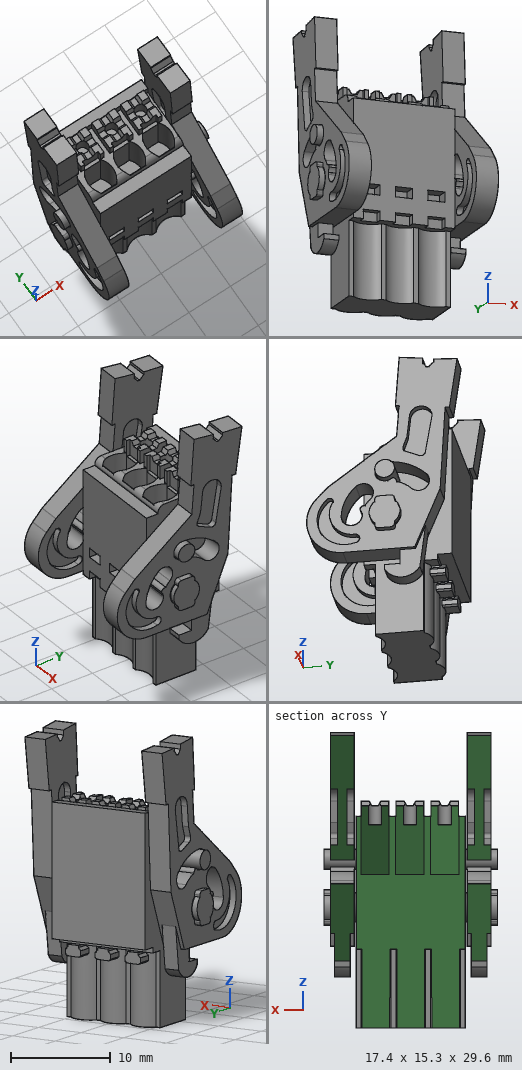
import cadquery as cq
import math


POLE_PITCH = 3.5
POLE_XS = [-POLE_PITCH, 0, POLE_PITCH]
CONTACT_SHIFT = 0.1

HOUSING_HALF = 5.47
FRONT_Y = -2.65
BACK_Y = 6.27
SKIRT_Z = 7.87
BACK_SKIRT_Z = 8.43
BACK_SKIRT_Y = 4.8
FRONT_TOP_Z = 20.33
HUMP_FRONT_Y = -1.25
HUMP_R = 0.8
DECK_Z = 21.22
BACK_WALL_Y = 5.12
BACK_WALL_Z = 22.4
NOSE_FRONT_Y = -1.5
NOSE_BACK_Y = 3.4

FLUTE_WIDTH = 3.0
FLUTE_DEPTH = 0.65
FLUTE_R = (FLUTE_WIDTH**2 / 4 + FLUTE_DEPTH**2) / (2 * FLUTE_DEPTH)

WINDOW_WIDTH = 1.8
WINDOW_Z = 10.5
WINDOW_HEIGHT = 1.07
WINDOW_DEPTH = 1.48
NOTCH_TOP_Z = 8.85
NOTCH_DEPTH = 0.8
TAB_BACK_Y = 5.45
TAB_NECK_WIDTH = 1.25
TAB_BOTTOM_Z = 6.7
TAB_CHAMFER = 0.18
TAB_SLOPE_BOTTOM_Z = 7.37
TAB_SLOPE_TOP_Z = 7.65

ENTRY_WIDTH = 3.0
ENTRY_FRONT_Y = -1.07
ENTRY_FLOOR_Z = 15.4
CHANNEL_WIDTH = 1.9
CHANNEL_FLOOR_Z = 20.85

BUTTON_WIDTH = 2.78
BUTTON_FRONT_Y = 1.85
BUTTON_TOP_Z = 22.73
BUTTON_BOTTOM_Z = ENTRY_FLOOR_Z
BUTTON_RELIEF_DEPTH = 0.38
GROOVE_TOP_WIDTH = 1.18
GROOVE_FLOOR_WIDTH = 0.62
GROOVE_DEPTH = 0.47
TOOL_HOLE_R = 0.65
TOOL_HOLE_Y = 3.6
TOOL_HOLE_DEPTH = 2.37

PIVOT_Z = 12.07
LEVER_GAP = 0.18
LEVER_THICKNESS = 2.4
LEVER_MID_X = HOUSING_HALF + LEVER_GAP + LEVER_THICKNESS / 2
LEVER_OUTER_X = LEVER_MID_X + LEVER_THICKNESS / 2
NOSE_R = 3.7
NOSE_CENTRE = (-4.35, -0.2)
NOSE_START_ANGLE = 137
HOOK_WIDTH = 1.6
RECESS_DEPTH = 0.7
RECESS_CORNER_R = 0.45

GUIDE_HALF_WIDTH = 1.07
PIN_SLOT_R = 4.82
PIN_SLOT_ANGLES = (-0.5, 44.5)
PIN_DETENT_ANGLE = 10
FREE_SLOT_R = 3.45
FREE_SLOT_ANGLES = (-88, -42)
FREE_DETENT_ANGLE = -72
DETENT_R = 0.47
DETENT_INSET = 0.12

PIN_END_X = 8.7
GUIDE_PIN_R = 1.0
PIVOT_PIN_R = 1.48
PIVOT_HEAD_R = 1.57
PIVOT_KEY_WIDTH = 2.0
PIVOT_KEY_HEIGHT = 3.58
PIVOT_KEY_CORNER_R = 0.38


def box(x_mid, x_width, y0, y1, z0, z1):
    """Box centred on x_mid, between two Y and two Z values."""
    centre = (x_mid, (y0 + y1) / 2, (z0 + z1) / 2)
    return cq.Workplane("XY").box(x_width, y1 - y0, z1 - z0).translate(centre)


def upright_cylinder(x, y, radius, z0, z1):
    """Cylinder along Z."""
    return cq.Workplane("XY", origin=(x, y, z0)).circle(radius).extrude(z1 - z0)


def pivot_plane(x=0):
    """YZ plane at x, with its origin on the pivot axis."""
    return cq.Workplane("YZ", origin=(x, 0, PIVOT_Z))


def polar(radius, angle):
    """(Y, Z) from the pivot; the angle in degrees runs from +Z towards +Y."""
    turn = math.radians(angle)
    return (radius * math.sin(turn), radius * math.cos(turn))


def housing_core():
    """Side profile of the housing across its whole width."""
    hump_z = DECK_Z - HUMP_R
    hump_y = HUMP_FRONT_Y + HUMP_R
    arc_mid = (hump_y - HUMP_R * math.sqrt(0.5), hump_z + HUMP_R * math.sqrt(0.5))
    profile = (
        cq.Workplane("YZ")
        .moveTo(FRONT_Y, SKIRT_Z)
        .lineTo(FRONT_Y, FRONT_TOP_Z)
        .lineTo(HUMP_FRONT_Y, FRONT_TOP_Z)
        .lineTo(HUMP_FRONT_Y, hump_z)
        .threePointArc(arc_mid, (hump_y, DECK_Z))
        .lineTo(BACK_WALL_Y, DECK_Z)
        .lineTo(BACK_WALL_Y, BACK_WALL_Z)
        .lineTo(BACK_Y, BACK_WALL_Z)
        .lineTo(BACK_Y, BACK_SKIRT_Z)
        .lineTo(BACK_SKIRT_Y, BACK_SKIRT_Z)
        .lineTo(BACK_SKIRT_Y, SKIRT_Z)
        .lineTo(NOSE_BACK_Y, SKIRT_Z)
        .lineTo(NOSE_BACK_Y, 0)
        .lineTo(NOSE_FRONT_Y, 0)
        .lineTo(NOSE_FRONT_Y, SKIRT_Z)
        .close()
    )
    return profile.extrude(HOUSING_HALF, both=True)


def front_flute(x):
    """Cutter for one concave flute on the front of the nose."""
    axis_y = NOSE_FRONT_Y + FLUTE_DEPTH - FLUTE_R
    return upright_cylinder(x, axis_y, FLUTE_R, 0, SKIRT_Z)


def front_openings(x):
    """Cutter for the blind window and the notch in the lower edge of the front wall."""
    window_top_z = WINDOW_Z + WINDOW_HEIGHT
    window = box(x, WINDOW_WIDTH, FRONT_Y, FRONT_Y + WINDOW_DEPTH, WINDOW_Z, window_top_z)
    notch = box(x, WINDOW_WIDTH, FRONT_Y, FRONT_Y + NOTCH_DEPTH, SKIRT_Z, NOTCH_TOP_Z)
    return window.union(notch)


def back_lobe(x):
    """Convex lobe on the back of the nose."""
    axis_y = NOSE_BACK_Y + FLUTE_DEPTH - FLUTE_R
    lobe = upright_cylinder(x, axis_y, FLUTE_R, 0, SKIRT_Z)
    return lobe.intersect(box(x, FLUTE_WIDTH, NOSE_BACK_Y, NOSE_BACK_Y + FLUTE_DEPTH, 0, SKIRT_Z))


def back_tab(x):
    """Tab under the back skirt with a narrower neck and chamfered lower edges."""
    half = WINDOW_WIDTH / 2
    right_side = [
        (TAB_NECK_WIDTH / 2, SKIRT_Z),
        (TAB_NECK_WIDTH / 2, TAB_SLOPE_TOP_Z),
        (half, TAB_SLOPE_BOTTOM_Z),
        (half, TAB_BOTTOM_Z + TAB_CHAMFER),
        (half - TAB_CHAMFER, TAB_BOTTOM_Z),
    ]
    left_side = [(-px, pz) for px, pz in reversed(right_side)]
    tab = cq.Workplane("XZ", origin=(x, TAB_BACK_Y, 0)).polyline(right_side + left_side).close()
    return tab.extrude(TAB_BACK_Y - NOSE_BACK_Y)


def wire_entry(x):
    """Cutter for one barrel-shaped wire entry and the shallow channel across its mouth."""
    flat_half = CHANNEL_WIDTH / 2
    bulge_half = ENTRY_WIDTH / 2
    mid_y = (ENTRY_FRONT_Y + BUTTON_FRONT_Y) / 2
    bore = (
        cq.Workplane("XY", origin=(x, 0, ENTRY_FLOOR_Z))
        .moveTo(-flat_half, BUTTON_FRONT_Y)
        .lineTo(flat_half, BUTTON_FRONT_Y)
        .threePointArc((bulge_half, mid_y), (flat_half, ENTRY_FRONT_Y))
        .lineTo(-flat_half, ENTRY_FRONT_Y)
        .threePointArc((-bulge_half, mid_y), (-flat_half, BUTTON_FRONT_Y))
        .close()
        .extrude(DECK_Z - ENTRY_FLOOR_Z)
    )
    channel = box(x, CHANNEL_WIDTH, HUMP_FRONT_Y, BUTTON_FRONT_Y, CHANNEL_FLOOR_Z, DECK_Z)
    return bore.union(channel)


def button_block(x, top_z):
    """Outer block of one button, also the shape of its pocket."""
    return box(x, BUTTON_WIDTH, BUTTON_FRONT_Y, BACK_WALL_Y, BUTTON_BOTTOM_Z, top_z)


def side_pins(side):
    """Guide pin and keyed pivot pin on one side; side is -1 or +1."""
    length = PIN_END_X - HOUSING_HALF
    wall_x = side * HOUSING_HALF
    guide_pin = pivot_plane(wall_x).center(0, PIN_SLOT_R).circle(GUIDE_PIN_R).extrude(side * length)
    pivot_pin = pivot_plane(wall_x).circle(PIVOT_PIN_R).extrude(side * length)
    head_length = PIN_END_X - LEVER_OUTER_X
    head = pivot_plane(side * LEVER_OUTER_X).circle(PIVOT_HEAD_R).extrude(side * head_length)
    key = (
        pivot_plane(side * LEVER_OUTER_X)
        .rect(PIVOT_KEY_WIDTH, PIVOT_KEY_HEIGHT)
        .extrude(side * head_length)
        .edges("|X")
        .fillet(PIVOT_KEY_CORNER_R)
    )
    return guide_pin.union(pivot_pin.union(head).union(key))


def make_housing():
    """Plug housing with its pole features and the pins that carry the levers."""
    body = housing_core()
    for x in POLE_XS:
        contact_x = x + CONTACT_SHIFT
        body = body.cut(front_flute(x)).cut(front_openings(x))
        body = body.union(back_lobe(x)).union(back_tab(x))
        body = body.cut(wire_entry(contact_x))
        body = body.cut(button_block(contact_x, DECK_Z))
    for side in (-1, 1):
        body = body.union(side_pins(side))
    return body


def groove_section(plane):
    """Bevel-sided groove outline, open at the button top."""
    floor_z = BUTTON_TOP_Z - GROOVE_DEPTH
    return plane.polyline(
        [
            (-GROOVE_TOP_WIDTH / 2, BUTTON_TOP_Z),
            (-GROOVE_FLOOR_WIDTH / 2, floor_z),
            (GROOVE_FLOOR_WIDTH / 2, floor_z),
            (GROOVE_TOP_WIDTH / 2, BUTTON_TOP_Z),
        ]
    ).close()


def make_button(x):
    """Release button with a crossed groove, a tool hole and a relief in its front face."""
    relief_back_y = BUTTON_FRONT_Y + BUTTON_RELIEF_DEPTH
    relief = box(x, CHANNEL_WIDTH, BUTTON_FRONT_Y, relief_back_y, CHANNEL_FLOOR_Z, BUTTON_TOP_Z)
    groove_reach = BACK_WALL_Y - BUTTON_FRONT_Y
    front_to_back = groove_section(cq.Workplane("XZ", origin=(x, TOOL_HOLE_Y, 0)))
    sideways = groove_section(cq.Workplane("YZ", origin=(x, TOOL_HOLE_Y, 0)))
    tool_hole_floor = BUTTON_TOP_Z - TOOL_HOLE_DEPTH
    return (
        button_block(x, BUTTON_TOP_Z)
        .cut(relief)
        .cut(front_to_back.extrude(groove_reach, both=True))
        .cut(sideways.extrude(groove_reach, both=True))
        .cut(upright_cylinder(x, TOOL_HOLE_Y, TOOL_HOLE_R, tool_hole_floor, BUTTON_TOP_Z))
    )


def nose_point(angle):
    """Point on the round nose of the lever, as (Y, Z) from the pivot."""
    turn = math.radians(angle)
    return (NOSE_CENTRE[0] + NOSE_R * math.cos(turn), NOSE_CENTRE[1] + NOSE_R * math.sin(turn))


def lever_plate():
    """Lever outline with its notched handle, sloping shoulder and round nose."""
    handle = [
        (5.53, 2.4),
        (6.05, 11.48),
        (6.48, 11.48),
        (7.25, 16.87),
        (4.88, 17.0),
        (4.88, 16.72),
        (4.38, 16.22),
        (4.15, 16.22),
        (3.73, 16.72),
        (3.73, 17.22),
        (1.35, 17.52),
        (0.98, 12.1),
        (1.35, 12.1),
        (1.1, 8.67),
        (-5.9, 3.55),
    ]
    heel_y = 2.95
    nose_bottom = nose_point(270)
    outline = (
        pivot_plane()
        .polyline(handle)
        .lineTo(*nose_point(NOSE_START_ANGLE))
        .threePointArc(nose_point(180), nose_bottom)
        .lineTo(heel_y, nose_bottom[1])
        .close()
    )
    return outline.extrude(LEVER_THICKNESS / 2, both=True)


def lever_hook():
    """Narrower hook under the lever; its top is buried in the plate."""
    outline = (
        pivot_plane()
        .moveTo(1.35, -1.3)
        .lineTo(4.0, -1.3)
        .lineTo(3.4, -5.98)
        .threePointArc((1.65, -6.98), (-0.18, -5.98))
        .lineTo(-0.2, -5.45)
        .lineTo(1.35, -5.45)
        .close()
    )
    return outline.extrude(HOOK_WIDTH / 2, both=True)


def guide_slot(radius, angles, detent_angle):
    """Cutter for a round-ended arc slot with a detent bump on its inner edge."""
    start, end = angles
    middle = (start + end) / 2
    inner_r = radius - GUIDE_HALF_WIDTH
    outer_r = radius + GUIDE_HALF_WIDTH
    band = (
        pivot_plane()
        .moveTo(*polar(inner_r, start))
        .threePointArc(polar(inner_r, middle), polar(inner_r, end))
        .lineTo(*polar(outer_r, end))
        .threePointArc(polar(outer_r, middle), polar(outer_r, start))
        .close()
        .extrude(LEVER_THICKNESS, both=True)
    )
    ends = (
        pivot_plane()
        .pushPoints([polar(radius, start), polar(radius, end)])
        .circle(GUIDE_HALF_WIDTH)
        .extrude(LEVER_THICKNESS, both=True)
    )
    detent_centre = polar(inner_r - DETENT_INSET, detent_angle)
    detent = pivot_plane().center(*detent_centre).circle(DETENT_R)
    return band.cut(detent.extrude(LEVER_THICKNESS, both=True)).union(ends)


def handle_recess(x):
    """Cutter for the long recess in the handle, starting at plane x."""
    lower_left = (3.95, 6.07)
    lower_right = (1.63, 7.07)
    recess = (
        pivot_plane(x)
        .moveTo(4.7, 10.65)
        .threePointArc((3.55, 11.85), (2.4, 10.65))
        .lineTo(2.15, 8.52)
        .lineTo(*lower_right)
        .lineTo(*lower_left)
        .close()
        .extrude(RECESS_DEPTH)
    )
    left_corner = cq.selectors.NearestToPointSelector((x, lower_left[0], PIVOT_Z + lower_left[1]))
    right_corner = cq.selectors.NearestToPointSelector((x, lower_right[0], PIVOT_Z + lower_right[1]))
    return recess.edges("|X").edges(left_corner + right_corner).fillet(RECESS_CORNER_R)


def nose_recess(x):
    """Cutter for the crescent recess in the nose, starting at plane x."""
    return (
        pivot_plane(x)
        .moveTo(-5.33, 1.9)
        .threePointArc((-5.0, -1.25), (-3.05, -1.95))
        .threePointArc((-2.65, -2.37), (-3.17, -2.93))
        .threePointArc((-6.63, -1.45), (-6.05, 2.1))
        .threePointArc((-5.6, 2.28), (-5.33, 1.9))
        .close()
        .extrude(RECESS_DEPTH)
    )


def make_lever(side):
    """Cam lever, symmetric about its own mid-plane; side is -1 or +1."""
    lever = lever_plate().union(lever_hook())
    lever = lever.cut(pivot_plane().circle(PIVOT_PIN_R).extrude(LEVER_THICKNESS, both=True))
    lever = lever.cut(guide_slot(PIN_SLOT_R, PIN_SLOT_ANGLES, PIN_DETENT_ANGLE))
    lever = lever.cut(guide_slot(FREE_SLOT_R, FREE_SLOT_ANGLES, FREE_DETENT_ANGLE))
    for recess_x in (-LEVER_THICKNESS / 2, LEVER_THICKNESS / 2 - RECESS_DEPTH):
        lever = lever.cut(handle_recess(recess_x)).cut(nose_recess(recess_x))
    return lever.translate((side * LEVER_MID_X, 0, 0))


housing = make_housing()
levers = [make_lever(side) for side in (-1, 1)]
buttons = [make_button(x + CONTACT_SHIFT) for x in POLE_XS]

result = cq.Compound.makeCompound(
    [housing.val(), *[lever.val() for lever in levers], *[button.val() for button in buttons]]
)